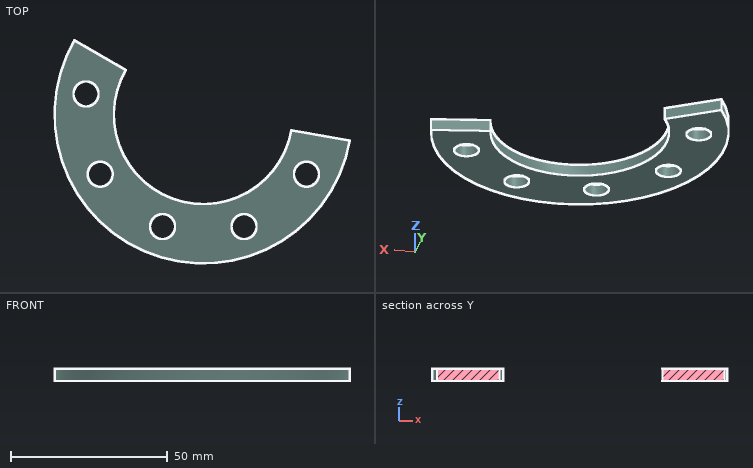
import cadquery as cq
import math

outer_radius = 47.625
inner_radius = 28.575
hole_circle_radius = (outer_radius + inner_radius) / 2
hole_diameter = 7.9375
thickness = 4.0
start_angle = 150.0
end_angle = 350.0
hole_count = 5

hole_pitch = (end_angle - start_angle) / hole_count
middle_angle = (start_angle + end_angle) / 2


def polar_point(radius, angle):
    """Point at a radius and angle about the ring centre."""
    radians = math.radians(angle)
    return (radius * math.cos(radians), radius * math.sin(radians))


def ring_segment():
    """Flat ring segment with radial ends."""
    return (
        cq.Workplane("XY")
        .moveTo(*polar_point(outer_radius, start_angle))
        .threePointArc(
            polar_point(outer_radius, middle_angle),
            polar_point(outer_radius, end_angle),
        )
        .lineTo(*polar_point(inner_radius, end_angle))
        .threePointArc(
            polar_point(inner_radius, middle_angle),
            polar_point(inner_radius, start_angle),
        )
        .close()
        .extrude(thickness)
    )


def bolt_holes():
    """Cylinders that cut the evenly spaced through holes."""
    centres = [
        polar_point(hole_circle_radius, start_angle + (index + 0.5) * hole_pitch)
        for index in range(hole_count)
    ]
    return (
        cq.Workplane("XY")
        .pushPoints(centres)
        .circle(hole_diameter / 2)
        .extrude(thickness)
    )


result = ring_segment().cut(bolt_holes())